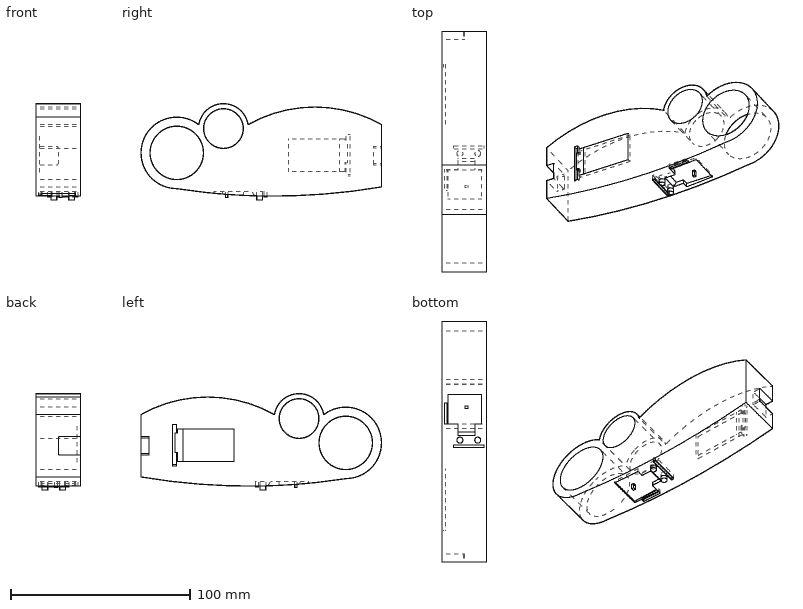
import cadquery as cq
import math


LENGTH = 134.1
WIDTH = 25.0
LARGE_OUTER_RADIUS = 20.0
LARGE_HOLE_DIAMETER = 29.6
SMALL_OUTER_RADIUS = 14.0
SMALL_HOLE_DIAMETER = 22.0
SMALL_RING_Y = 26.0
SMALL_RING_Z = 13.5
SHOULDER_Z = 15.8
TOP_ARC_RISE = 9.8
HEEL_Z = -19.0
BOTTOM_ARC_DROP = 5.1

SIDE_X = -WIDTH / 2
END_Y = LENGTH - LARGE_OUTER_RADIUS
TOP_ARC_END_Y = SMALL_RING_Y + math.sqrt(SMALL_OUTER_RADIUS**2 - (SHOULDER_Z - SMALL_RING_Z) ** 2)
BOTTOM_ARC_END_Y = -math.sqrt(LARGE_OUTER_RADIUS**2 - HEEL_Z**2)
BOTTOM_ARC_MID_Y = (END_Y + BOTTOM_ARC_END_Y) / 2
LOWEST_Z = HEEL_Z - BOTTOM_ARC_DROP

NOTCH_LENGTH = 4.5
NOTCH_HEIGHT = 10.3
NOTCH_BEVEL_RISE = 0.8
NOTCH_BEVEL_RUN = 0.5
NOTCH_DEPTH = WIDTH / 2
NOTCH_Z = -1.6

COVER_THICKNESS = 2.0
COVER_HEIGHT = 18.1
COVER_Z = -1.3
COVER_FRONT_Y = 62.2
LATCH_FRONT_Y = 90.7
LATCH_BACK_Y = 93.6
TAB_END_Y = 95.1
TAB_HEIGHT = 11.0

SLOT_FRONT_Y = 94.3
SLOT_BACK_Y = 96.5
SLOT_HEIGHT = 23.1
LEDGE_HEIGHT = 0.8
LEDGE_DEPTH = 1.0

SEAT_Z = LOWEST_Z + 2.7
PIN_DIAMETER = 3.4
PIN_SPACING = 9.9
PIN_END_Z = -26.3
PIN_Y = 46.1
GROUP_X = 2.5
BAR_WIDTH = 17.2
BAR_LENGTH = 1.5
BAR_Y = 49.5
BAR_END_Z = -24.7
SLIDER_X = 1.3
SLIDER_Y = 27.8
SLIDER_WIDTH = 1.6
SLIDER_LENGTH = 1.3
SLIDER_END_Z = -25.0

WINDOW_FRONT_Y = 20.8
WINDOW_BACK_Y = 37.2
WIDE_WINDOW_X = (-9.1, -3.6)
NARROW_WINDOW_X = (5.9, 9.7)
SMALL_WINDOW_X = (-11.0, -9.7)
SMALL_WINDOW_FRONT_Y = 25.5
RAMP_BACK_Y = 43.6
RAMP_RUN = 1.9


def box_between(x_range, y_range, z_range):
    """A box that spans the given ranges."""
    size = [last - first for first, last in (x_range, y_range, z_range)]
    corner = (x_range[0], y_range[0], z_range[0])
    return cq.Workplane("XY").box(*size, centered=False).translate(corner)


def side_inset(y_range, height, z, depth):
    """A box set into the side face from its surface."""
    return box_between((SIDE_X, SIDE_X + depth), y_range, (z - height / 2, z + height / 2))


def bottom_block(x, y, width, length, end_z):
    """A block that runs from the seat level down to end_z."""
    return box_between(
        (x - width / 2, x + width / 2), (y - length / 2, y + length / 2), (end_z, SEAT_Z)
    )


def side_plane(y=0, z=0):
    """A sketch plane on the side face, with its origin at the given Y and Z."""
    return cq.Workplane("YZ", origin=(SIDE_X, y, z))


def make_blank():
    """The plain housing: an arched grip that ends in two rings."""
    grip = (
        side_plane()
        .moveTo(END_Y, SHOULDER_Z)
        .threePointArc(
            ((END_Y + TOP_ARC_END_Y) / 2, SHOULDER_Z + TOP_ARC_RISE), (TOP_ARC_END_Y, SHOULDER_Z)
        )
        .lineTo(SMALL_RING_Y, SMALL_RING_Z)
        .lineTo(0, 0)
        .lineTo(BOTTOM_ARC_END_Y, HEEL_Z)
        .threePointArc((BOTTOM_ARC_MID_Y, LOWEST_Z), (END_Y, HEEL_Z))
        .close()
        .extrude(WIDTH)
    )
    large_ring = side_plane().circle(LARGE_OUTER_RADIUS).extrude(WIDTH)
    small_ring = side_plane(SMALL_RING_Y, SMALL_RING_Z).circle(SMALL_OUTER_RADIUS).extrude(WIDTH)
    large_hole = side_plane().circle(LARGE_HOLE_DIAMETER / 2).extrude(WIDTH)
    small_hole = side_plane(SMALL_RING_Y, SMALL_RING_Z).circle(SMALL_HOLE_DIAMETER / 2).extrude(WIDTH)
    return grip.union(large_ring).union(small_ring).cut(large_hole).cut(small_hole)


def make_notch():
    """Cutter for the end notch, with a bevel above and below its inner end."""
    mouth = NOTCH_HEIGHT / 2
    floor = mouth - NOTCH_BEVEL_RISE
    bevel_start = NOTCH_DEPTH - NOTCH_BEVEL_RUN
    return (
        cq.Workplane("XZ", origin=(SIDE_X, END_Y, NOTCH_Z))
        .moveTo(0, -mouth)
        .lineTo(bevel_start, -mouth)
        .lineTo(NOTCH_DEPTH, -floor)
        .lineTo(NOTCH_DEPTH, floor)
        .lineTo(bevel_start, mouth)
        .lineTo(0, mouth)
        .close()
        .extrude(NOTCH_LENGTH)
    )


def make_slot():
    """Cutter for the finger slot, with a shallow ledge at its lower end."""
    bottom_z = COVER_Z - SLOT_HEIGHT / 2
    slot = side_inset((SLOT_FRONT_Y, SLOT_BACK_Y), SLOT_HEIGHT, COVER_Z, COVER_THICKNESS)
    ledge = box_between(
        (SIDE_X + LEDGE_DEPTH, SIDE_X + COVER_THICKNESS),
        (SLOT_FRONT_Y, SLOT_BACK_Y),
        (bottom_z, bottom_z + LEDGE_HEIGHT),
    )
    return slot.cut(ledge)


def make_window(x_range, front_y):
    """Cutter for one straight-walled window in the bottom."""
    return box_between(x_range, (front_y, WINDOW_BACK_Y), (LOWEST_Z, SEAT_Z))


def make_slider_recess():
    """Cutter for the recess around the slider, between the wide and narrow windows."""
    first_x = WIDE_WINDOW_X[1]
    last_x = NARROW_WINDOW_X[0]
    return (
        cq.Workplane("YZ", origin=(first_x, 0, 0))
        .moveTo(WINDOW_FRONT_Y, LOWEST_Z)
        .lineTo(WINDOW_FRONT_Y, SEAT_Z)
        .lineTo(RAMP_BACK_Y - RAMP_RUN, SEAT_Z)
        .lineTo(RAMP_BACK_Y, LOWEST_Z)
        .close()
        .extrude(last_x - first_x)
    )


def make_cover():
    return side_inset((COVER_FRONT_Y, LATCH_FRONT_Y), COVER_HEIGHT, COVER_Z, COVER_THICKNESS)


def make_latch():
    """A strip beside the cover, with a tab that reaches into the finger slot."""
    strip = side_inset((LATCH_FRONT_Y, LATCH_BACK_Y), COVER_HEIGHT, COVER_Z, COVER_THICKNESS)
    tab = side_inset((LATCH_FRONT_Y, TAB_END_Y), TAB_HEIGHT, 0, COVER_THICKNESS)
    return strip.union(tab)


def make_pin(x):
    return (
        cq.Workplane("XY", origin=(x, PIN_Y, PIN_END_Z))
        .circle(PIN_DIAMETER / 2)
        .extrude(SEAT_Z - PIN_END_Z)
    )


def make_housing(inserts):
    """The blank with its notch, slot and recesses, and a matching seat for every insert."""
    cutters = [
        make_notch(),
        make_slot(),
        make_slider_recess(),
        make_window(WIDE_WINDOW_X, WINDOW_FRONT_Y),
        make_window(NARROW_WINDOW_X, WINDOW_FRONT_Y),
        make_window(SMALL_WINDOW_X, SMALL_WINDOW_FRONT_Y),
    ]
    housing = make_blank()
    for cutter in cutters + inserts:
        housing = housing.cut(cutter)
    return housing


cover = make_cover()
latch = make_latch()
pins = [make_pin(GROUP_X + side * PIN_SPACING / 2) for side in (-1, 1)]
bar = bottom_block(GROUP_X, BAR_Y, BAR_WIDTH, BAR_LENGTH, BAR_END_Z)
slider = bottom_block(SLIDER_X, SLIDER_Y, SLIDER_WIDTH, SLIDER_LENGTH, SLIDER_END_Z)
inserts = [cover, latch, *pins, bar, slider]
housing = make_housing(inserts)

result = cq.Compound.makeCompound([housing.val(), *[insert.val() for insert in inserts]])